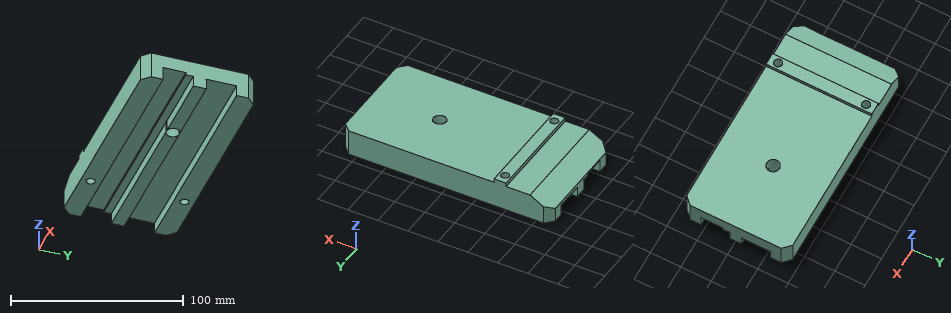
import cadquery as cq

length = 140.0
width = 70.0
total_height = 20.0
body_height = 17.5
corner_chamfer = 5.0

nose_height = 9.5
nose_length = 14.0

rib_start = 30.0
rib_width = 8.0
screw_hole_diameter = 5.2
screw_hole_edge_distance = 6.0

center_hole_diameter = 8.2
center_hole_to_rib = 60.0

web_width = 8.0
channel_width = 18.7
channel_depth = 7.0
deep_channel_depth = 8.6
deep_channel_width = 14.0

nose_x = -length / 2
rib_x = nose_x + rib_start + rib_width / 2
screw_hole_y = width / 2 - screw_hole_edge_distance
center_hole_x = rib_x + center_hole_to_rib
channel_inner_y = web_width / 2
channel_outer_y = channel_inner_y + channel_width


def make_body():
    """Side profile with nose slope and rib, extruded across the width and cut at the corners."""
    profile = [
        (nose_x, 0),
        (nose_x, nose_height),
        (nose_x + nose_length, body_height),
        (rib_x - rib_width / 2, body_height),
        (rib_x - rib_width / 2, total_height),
        (rib_x + rib_width / 2, total_height),
        (rib_x + rib_width / 2, body_height),
        (length / 2, body_height),
        (length / 2, 0),
    ]
    extrusion = cq.Workplane("XZ").polyline(profile).close().extrude(width / 2, both=True)
    footprint = (
        cq.Workplane("XY")
        .rect(length, width)
        .extrude(total_height)
        .edges("|Z")
        .chamfer(corner_chamfer)
    )
    return extrusion.intersect(footprint)


def make_channel(y_min, y_max, depth):
    """Cutter for a channel running the full length of the underside."""
    return cq.Workplane("XY").box(length, y_max - y_min, depth, centered=(True, False, False)).translate(
        (0, y_min, 0)
    )


def make_hole(x, y, diameter):
    """Cutter for a vertical through hole."""
    return cq.Workplane("XY").center(x, y).circle(diameter / 2).extrude(total_height)


result = make_body()

result = result.cut(make_channel(channel_inner_y, channel_outer_y, channel_depth))
result = result.cut(make_channel(-channel_outer_y, -channel_inner_y, channel_depth))
deep_channel_inner_y = -channel_outer_y + deep_channel_width
result = result.cut(make_channel(-channel_outer_y, deep_channel_inner_y, deep_channel_depth))

for side in (-1, 1):
    result = result.cut(make_hole(rib_x, side * screw_hole_y, screw_hole_diameter))
result = result.cut(make_hole(center_hole_x, 0, center_hole_diameter))